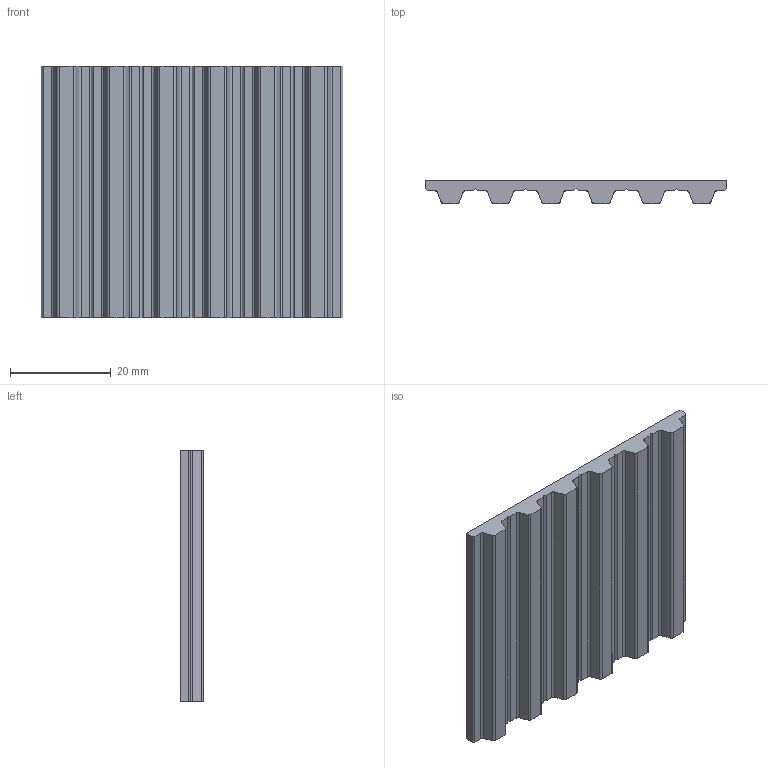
import cadquery as cq
import math

pitch = 10.0
tooth_count = 6
belt_width = 50.0
total_thickness = 4.5
tooth_height = 2.5
tooth_root_width = 5.3
flank_angle = 20.0
tooth_radius = 0.5
edge_chamfer = 0.4

belt_length = pitch * tooth_count
backing_thickness = total_thickness - tooth_height
back_y = total_thickness / 2
root_y = back_y - backing_thickness
tip_y = -total_thickness / 2
root_half = tooth_root_width / 2
tip_half = root_half - tooth_height * math.tan(math.radians(flank_angle))


def make_backing():
    """One pitch of flat backing; neighbouring chamfers meet as a V notch."""
    return (
        cq.Workplane("XY")
        .box(pitch, backing_thickness, belt_width)
        .translate((0, (back_y + root_y) / 2, 0))
        .edges("|Z and <Y")
        .chamfer(edge_chamfer)
    )


def make_tooth():
    """Sharp-cornered trapezoidal tooth across the full belt width."""
    return (
        cq.Workplane("XY", origin=(0, 0, -belt_width / 2))
        .polyline([
            (-root_half, root_y),
            (-tip_half, tip_y),
            (tip_half, tip_y),
            (root_half, root_y),
        ])
        .close()
        .extrude(belt_width)
    )


def make_segment():
    """One pitch of belt centred on X = 0, with the tooth corners rounded."""
    tooth_zone = cq.selectors.BoxSelector(
        (-root_half - tooth_radius, tip_y - tooth_radius, -belt_width),
        (root_half + tooth_radius, root_y + tooth_radius, belt_width),
    )
    segment = make_backing().union(make_tooth())
    return segment.edges("|Z").edges(tooth_zone).fillet(tooth_radius)


segment = make_segment()
first_center_x = (pitch - belt_length) / 2
belt = segment.translate((first_center_x, 0, 0))
for index in range(1, tooth_count):
    belt = belt.union(segment.translate((first_center_x + index * pitch, 0, 0)))

result = belt.clean()